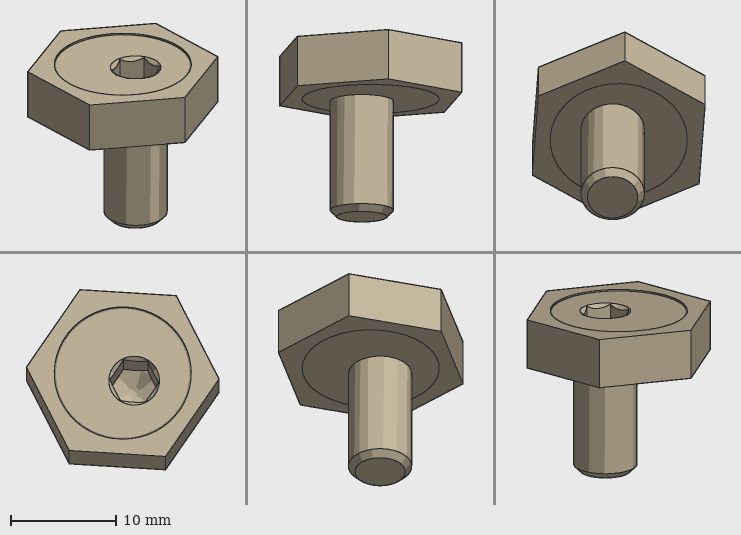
import cadquery as cq
import math

hex_across_corners = 18.31
hex_height = 4.8
head_recess = 0.11
bore_diameter = 13.0

head_diameter = bore_diameter
head_edge_radius = 0.11
eccentricity = 1.3
shank_diameter = 6.0
overall_height = 16.0
shank_length = overall_height - hex_height
head_height = hex_height - head_recess
tip_chamfer = 0.62

socket_across_flats = 4.03
socket_corner_radius = socket_across_flats / math.sqrt(3)
socket_depth = 3.48
mouth_radius = 2.4
mouth_cone_half_angle = 45.0
floor_cone_half_angle = 60.0


def hexagon_prism(across_corners, height):
    """Prism standing on the XY plane with two corners on the Y axis."""
    return (
        cq.Workplane("XY")
        .polygon(6, across_corners)
        .extrude(height)
        .rotate((0, 0, 0), (0, 0, 1), 90)
    )


def pointed_down_cone(radius, half_angle):
    """Cone with its base on the XY plane and its apex below it."""
    depth = radius / math.tan(math.radians(half_angle))
    return (
        cq.Workplane("XZ")
        .polyline([(0, 0), (radius, 0), (0, -depth)])
        .close()
        .revolve(360, (0, 0, 0), (0, 1, 0))
    )


def make_ring():
    bore = cq.Workplane("XY").circle(bore_diameter / 2).extrude(hex_height)
    return hexagon_prism(hex_across_corners, hex_height).cut(bore)


def make_socket():
    """Volume removed for the drive: hexagon, conical mouth and conical floor."""
    floor_z = head_height - socket_depth
    hexagon = hexagon_prism(2 * socket_corner_radius, socket_depth).translate((0, 0, floor_z))
    mouth = pointed_down_cone(mouth_radius, mouth_cone_half_angle).translate((0, 0, head_height))
    cone = pointed_down_cone(socket_corner_radius, floor_cone_half_angle)
    trim = hexagon_prism(2 * socket_corner_radius, socket_depth).translate((0, 0, -socket_depth))
    floor = cone.intersect(trim).translate((0, 0, floor_z))
    return hexagon.union(mouth).union(floor).translate((eccentricity, 0, 0))


def make_screw():
    head = (
        cq.Workplane("XY")
        .circle(head_diameter / 2)
        .extrude(head_height)
        .faces(">Z")
        .edges()
        .fillet(head_edge_radius)
    )
    shank = (
        cq.Workplane("XY")
        .center(eccentricity, 0)
        .circle(shank_diameter / 2)
        .extrude(-shank_length)
        .faces("<Z")
        .chamfer(tip_chamfer)
    )
    return head.union(shank).cut(make_socket())


ring = make_ring()
screw = make_screw()

result = cq.Compound.makeCompound([ring.val(), screw.val()])